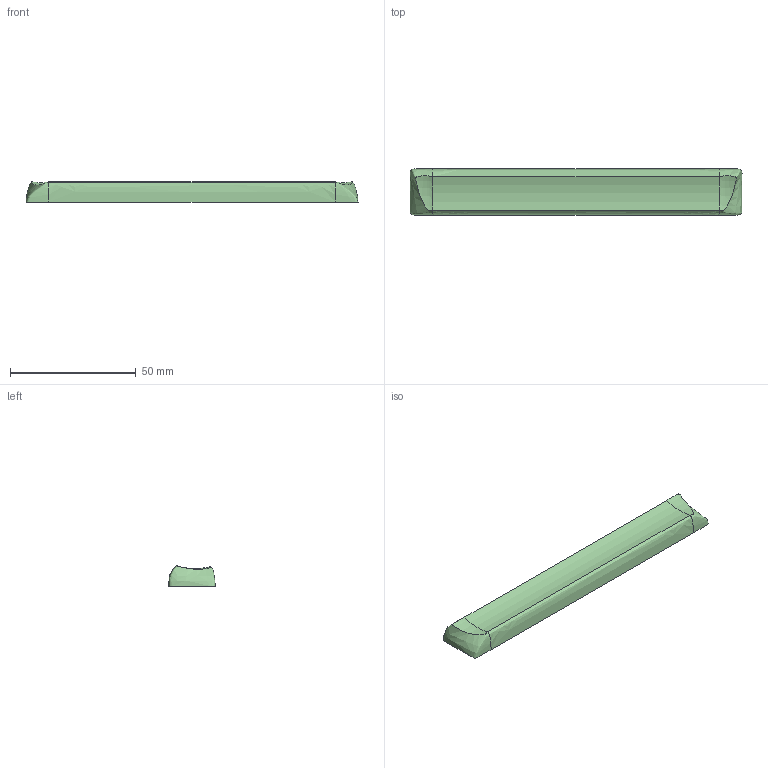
import cadquery as cq
import math

LENGTH = 132.43
WIDTH = 18.4

MIDDLE_HALF = 57.0

BLANK_HEIGHT = 8.4
SECTION_COUNT = 13

WALL_BOW = 0.02
CURL_POWER = 16
FRONT_CURL = 3.2
END_CURL = 1.2

REAR_CURL = 3.6
REAR_CURL_POWER = 3.4

END_SLOPE = 0.56
END_SLOPE_POWER = 2

CORNER_POINTS = 5
CORNER_PULL = 0.02

DISH_RADIUS = 25.0
DISH_CENTER_Y = -1.2
DISH_FLOOR = 6.95
DISH_HALF_WIDTH = 12.0
DISH_TOP = BLANK_HEIGHT + 3.0

DIP_CENTER_X = 60.3
DIP_RADIUS = 15.0
DIP_SWING = 40.0


def left_end_points(z):
    """Control points of the left end outline at height z, from the rear wall to the front wall."""
    rise = z / BLANK_HEIGHT
    bow = WALL_BOW * z**2
    curl = rise**CURL_POWER
    x_end = -LENGTH / 2 - CORNER_PULL + bow + END_CURL * curl
    y_front = -WIDTH / 2 + bow + FRONT_CURL * curl
    y_rear = WIDTH / 2 - REAR_CURL * rise**REAR_CURL_POWER
    slope = END_SLOPE * rise**END_SLOPE_POWER

    rear_corner = cq.Vector(x_end, y_rear, z)
    front_corner = cq.Vector(x_end + slope * (y_rear - y_front), y_front, z)
    rear_start = cq.Vector(-MIDDLE_HALF, y_rear, z)
    front_stop = cq.Vector(-MIDDLE_HALF, y_front, z)
    corners = [rear_corner] * CORNER_POINTS + [front_corner] * CORNER_POINTS
    return [rear_start, *corners, front_stop]


def section(z):
    """Closed plan outline at height z: straight front and rear walls joined by two end curves."""
    left = left_end_points(z)
    right = [cq.Vector(-point.x, point.y, point.z) for point in reversed(left)]
    return cq.Wire.assembleEdges([
        cq.Edge.makeBezier(left),
        cq.Edge.makeLine(left[-1], right[0]),
        cq.Edge.makeBezier(right),
        cq.Edge.makeLine(right[-1], left[0]),
    ])


def make_blank():
    """Bar with curved walls and a flat top."""
    heights = [BLANK_HEIGHT * i / (SECTION_COUNT - 1) for i in range(SECTION_COUNT)]
    return cq.Workplane(cq.Solid.makeLoft([section(z) for z in heights]))


def dish_profile():
    """Region above the hollow, in the plane where the middle part meets the left end."""
    arc_end_z = DISH_FLOOR + DISH_RADIUS - math.sqrt(DISH_RADIUS**2 - DISH_HALF_WIDTH**2)
    return (
        cq.Workplane("YZ", origin=(-MIDDLE_HALF, DISH_CENTER_Y, 0))
        .moveTo(-DISH_HALF_WIDTH, arc_end_z)
        .threePointArc((0, DISH_FLOOR), (DISH_HALF_WIDTH, arc_end_z))
        .lineTo(DISH_HALF_WIDTH, DISH_TOP)
        .lineTo(-DISH_HALF_WIDTH, DISH_TOP)
        .close()
    )


def left_end_cutter():
    """The hollow's profile swung outward over the left end, meeting the middle part exactly."""
    offset = DIP_CENTER_X - MIDDLE_HALF
    axis_z = DISH_FLOOR + math.sqrt(DIP_RADIUS**2 - offset**2)
    face = cq.Face.makeFromWires(dish_profile().wires().val())
    return cq.Solid.revolve(
        face,
        DIP_SWING,
        cq.Vector(-DIP_CENTER_X, 0, axis_z),
        cq.Vector(-DIP_CENTER_X, 1, axis_z),
    )


def cut_hollow(body):
    """Straight hollow over the middle, dipping and rising over both ends."""
    middle = dish_profile().extrude(2 * MIDDLE_HALF)
    left_end = cq.Workplane(left_end_cutter())
    return body.cut(middle).cut(left_end).cut(left_end.mirror("YZ"))


result = cut_hollow(make_blank())